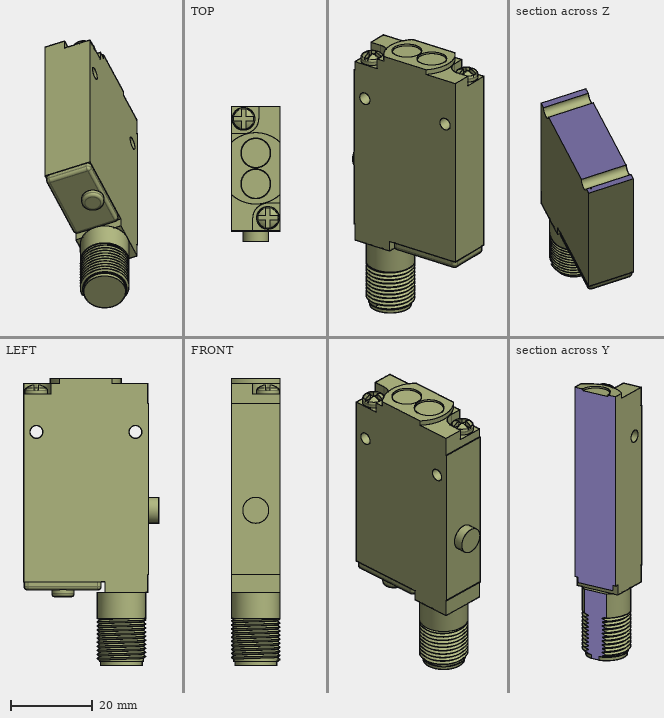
import cadquery as cq
import math


body_width = 12.0
body_depth = 30.8
body_bottom = 22.4
body_top = 64.6
cover_setback = 0.2

mount_hole_diameter = 3.1
mount_hole_edge = 3.15
mount_hole_spacing = 24.4
mount_hole_height = 57.55

button_diameter = 6.4
button_length = 2.52
button_height = 38.25

cap_top = 69.5
optics_top = 70.77
optics_radius = 8.8
lens_diameter = 7.35
lens_floor_diameter = 7.15
lens_spacing = 7.6
lens_recess = 0.4

screw_inset_x = 3.0
screw_inset_y = 3.1
pocket_reach = 6.75
pocket_radius = 3.75
pocket_depth = 2.65
head_diameter = 5.6
head_height = 2.4
dome_radius = 3.9
head_edge_radius = 0.8
slot_floor_height = 1.05
slot_length = 4.9
slot_width = 1.1

base_step = 20.6
flange_bottom = 18.0
flange_length = 10.6
plate_bottom = 18.6
plate_front = 19.1
plate_margin = 0.1
plate_corner_radius = 0.95
plate_edge_radius = 0.85
plate_screw_diameter = 5.5
plate_screw_x = -2.75
plate_screw_inset = 9.7
plate_screw_bottom = 16.9
plate_screw_edge_radius = 0.8

barrel_diameter = 12.04
barrel_bottom = 11.6
connector_inset = 24.1
core_diameter = 10.9
tip_diameter = 10.35
thread_diameter = barrel_diameter
thread_pitch = 1.0
thread_root_width = 0.99
thread_bottom = 1.0
thread_embed = 0.02

cap_depth = body_depth - cover_setback
cap_centre = cover_setback + cap_depth / 2


def block(depth_start, depth_end, bottom, top):
    """Full-width block between two Y positions and two heights."""
    return (
        cq.Workplane("XY", origin=(0, (depth_start + depth_end) / 2, bottom))
        .rect(body_width, depth_end - depth_start)
        .extrude(top - bottom)
    )


def cylinder(x, y, bottom, top, diameter):
    """Vertical cylinder between two heights."""
    return cq.Workplane("XY", origin=(x, y, bottom)).circle(diameter / 2).extrude(top - bottom)


def make_housing():
    """Main block with its two mounting holes and the push button."""
    housing = block(0, body_depth, body_bottom, body_top)
    rear_hole = body_depth - mount_hole_edge
    hole_places = [(y, mount_hole_height) for y in (rear_hole, rear_hole - mount_hole_spacing)]
    holes = (
        cq.Workplane("YZ")
        .pushPoints(hole_places)
        .circle(mount_hole_diameter / 2)
        .extrude(body_width, both=True)
    )
    button = (
        cq.Workplane("XZ", origin=(0, 0, button_height))
        .circle(button_diameter / 2)
        .extrude(button_length)
    )
    return housing.cut(holes).union(button)


def make_optics():
    """Round-ended raised pad with two shallow conical-walled lens recesses."""
    pad = cylinder(0, cap_centre, cap_top, optics_top, 2 * optics_radius)
    pad = pad.intersect(block(cover_setback, body_depth, cap_top, optics_top))
    lens_taper = math.degrees(math.atan((lens_diameter - lens_floor_diameter) / 2 / lens_recess))
    for offset in (-lens_spacing / 2, lens_spacing / 2):
        lens = (
            cq.Workplane("XY", origin=(0, cap_centre + offset, optics_top))
            .circle(lens_diameter / 2)
            .extrude(-lens_recess, taper=lens_taper)
        )
        pad = pad.cut(lens)
    return pad


def make_pocket(side):
    """Corner pocket around a screw; side +1 is the rear -X corner, -1 the front +X corner."""
    floor = cap_top - pocket_depth
    straight = pocket_reach - pocket_radius
    pocket = (
        cq.Workplane("XY", origin=(0, 0, floor))
        .moveTo(-body_width / 2, cap_depth / 2)
        .lineTo(pocket_reach - body_width / 2, cap_depth / 2)
        .lineTo(pocket_reach - body_width / 2, cap_depth / 2 - straight)
        .radiusArc((straight - body_width / 2, cap_depth / 2 - pocket_reach), pocket_radius)
        .lineTo(-body_width / 2, cap_depth / 2 - pocket_reach)
        .close()
        .extrude(pocket_depth)
    )
    turn = 0 if side > 0 else 180
    return pocket.rotate((0, 0, 0), (0, 0, 1), turn).translate((0, cap_centre, 0))


def make_screw_head(x, y, seat):
    """Domed screw head with a cross slot, resting on the given height."""
    dome = cq.Workplane("XY", origin=(0, 0, head_height - dome_radius)).sphere(dome_radius)
    head = cylinder(0, 0, 0, head_height, head_diameter).intersect(dome)
    head = head.faces(">Z").edges().fillet(head_edge_radius)
    slot_depth = head_height - slot_floor_height
    for length_x, length_y in ((slot_length, slot_width), (slot_width, slot_length)):
        slot = cq.Workplane("XY", origin=(0, 0, slot_floor_height)).rect(length_x, length_y)
        head = head.cut(slot.extrude(slot_depth))
    return head.translate((x, y, seat))


def make_cap():
    """Cap with the raised optics and two screws in opposite corners."""
    cap = block(cover_setback, body_depth, body_top, cap_top).union(make_optics())
    for side in (1, -1):
        screw_x = side * (screw_inset_x - body_width / 2)
        screw_y = cap_centre + side * (cap_depth / 2 - screw_inset_y)
        cap = cap.cut(make_pocket(side))
        cap = cap.union(make_screw_head(screw_x, screw_y, cap_top - pocket_depth))
    return cap


def make_base():
    """Stepped base with the flange that carries the connector."""
    base = block(cover_setback, body_depth, base_step, body_bottom)
    flange = block(cover_setback, cover_setback + flange_length, flange_bottom, body_bottom)
    return base.union(flange)


def make_bottom_plate():
    """Rounded plate under the base with its screw head."""
    front = body_depth - plate_front
    rear = body_depth - plate_margin
    plate = (
        cq.Workplane("XY", origin=(0, (front + rear) / 2, plate_bottom))
        .rect(body_width - 2 * plate_margin, rear - front)
        .extrude(base_step - plate_bottom)
    )
    plate = plate.edges("|Z").fillet(plate_corner_radius)
    plate = plate.faces("<Z").edges().fillet(plate_edge_radius)
    screw_y = body_depth - plate_screw_inset
    screw = cylinder(plate_screw_x, screw_y, plate_screw_bottom, base_step, plate_screw_diameter)
    screw = screw.faces("<Z").edges().fillet(plate_screw_edge_radius)
    return plate.union(screw)


def make_thread():
    """Helical ridge of triangular section around the Z axis."""
    root_radius = core_diameter / 2 - thread_embed
    half_root = thread_root_width / 2
    start = thread_bottom + half_root
    length = barrel_bottom - thread_bottom
    helix = cq.Wire.makeHelix(thread_pitch, length, root_radius, center=cq.Vector(0, 0, start))
    return (
        cq.Workplane("XZ")
        .moveTo(root_radius, start - half_root)
        .lineTo(thread_diameter / 2, start)
        .lineTo(root_radius, start + half_root)
        .close()
        .sweep(cq.Workplane(obj=helix), isFrenet=True)
    )


def make_connector():
    """Barrel, threaded core and plain tip, all on one axis."""
    barrel = cylinder(0, 0, barrel_bottom, flange_bottom, barrel_diameter)
    core = cylinder(0, 0, thread_bottom, barrel_bottom, core_diameter)
    tip = cylinder(0, 0, 0, thread_bottom, tip_diameter)
    connector = core.union(make_thread()).union(barrel).union(tip)
    return connector.translate((0, body_depth - connector_inset, 0))


result = (
    make_housing()
    .union(make_cap())
    .union(make_base())
    .union(make_bottom_plate())
    .union(make_connector())
)